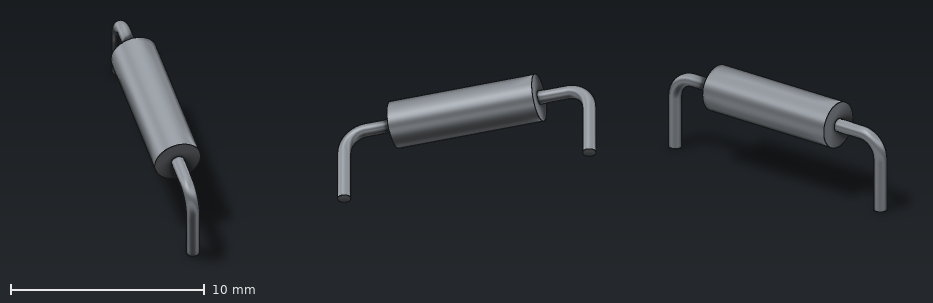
import cadquery as cq

overall_length = 14.05
overall_height = 5.28

body_diameter = 2.49
body_length = 7.9

lead_diameter = 0.7
bend_radius = 1.2

body_end_x = body_length / 2
lead_leg_x = (overall_length - lead_diameter) / 2
bend_start_x = lead_leg_x - bend_radius
lead_bottom_z = body_diameter / 2 - overall_height


def make_body():
    """Solid cylinder centred on the origin."""
    end_face = cq.Workplane("YZ", origin=(-body_end_x, 0, 0))
    return end_face.circle(body_diameter / 2).extrude(body_length)


def make_lead(side):
    """Wire from a body end face, bent down; side is -1 for the -X end, +1 for the +X end."""
    centreline = (
        cq.Workplane("XZ")
        .moveTo(side * body_end_x, 0)
        .lineTo(side * bend_start_x, 0)
        .tangentArcPoint((side * lead_leg_x, -bend_radius), relative=False)
        .lineTo(side * lead_leg_x, lead_bottom_z)
    )
    end_face = cq.Workplane("YZ", origin=(side * body_end_x, 0, 0))
    return end_face.circle(lead_diameter / 2).sweep(centreline)


body = make_body()
leads = [make_lead(side) for side in (-1, 1)]

result = cq.Compound.makeCompound([body.val(), *[lead.val() for lead in leads]])